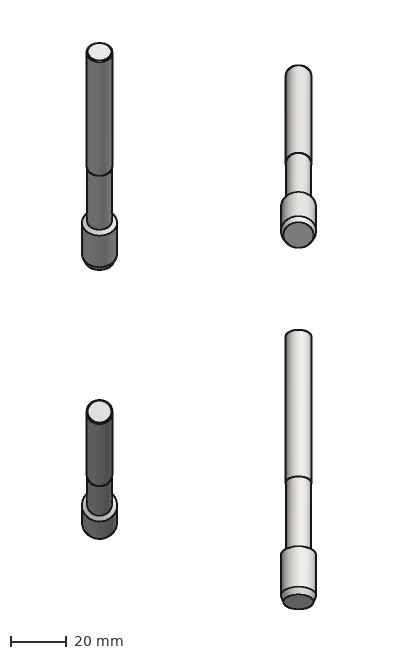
import cadquery as cq

total_length = 110.0

head_diameter = 12.6
tip_diameter = 10.8
tip_taper_height = 2.6
head_shoulder_z = 19.4
shoulder_height = 1.1

shank_diameter = 9.4
neck_diameter = 9.0
grip_length = 60.8
top_chamfer = 0.4

head_radius = head_diameter / 2
neck_radius = neck_diameter / 2
head_top_z = head_shoulder_z + shoulder_height
grip_bottom_z = total_length - grip_length


def make_head():
    """Cylinder with a tapered tip below and a conical shoulder up to the neck."""
    return (
        cq.Workplane("XZ")
        .lineTo(tip_diameter / 2, 0)
        .lineTo(head_radius, tip_taper_height)
        .lineTo(head_radius, head_shoulder_z)
        .lineTo(neck_radius, head_top_z)
        .lineTo(0, head_top_z)
        .close()
        .revolve(360, (0, 0), (0, 1))
    )


def make_shank():
    """Neck standing on the head, and the wider grip with a chamfered top."""
    neck = (
        cq.Workplane("XY")
        .workplane(offset=head_top_z)
        .circle(neck_radius)
        .extrude(grip_bottom_z - head_top_z)
    )
    grip = (
        cq.Workplane("XY")
        .workplane(offset=grip_bottom_z)
        .circle(shank_diameter / 2)
        .extrude(grip_length)
        .faces(">Z")
        .chamfer(top_chamfer)
    )
    return neck.union(grip)


head = make_head()
shank = make_shank()

result = cq.Compound.makeCompound([head.val(), *shank.solids().vals()])